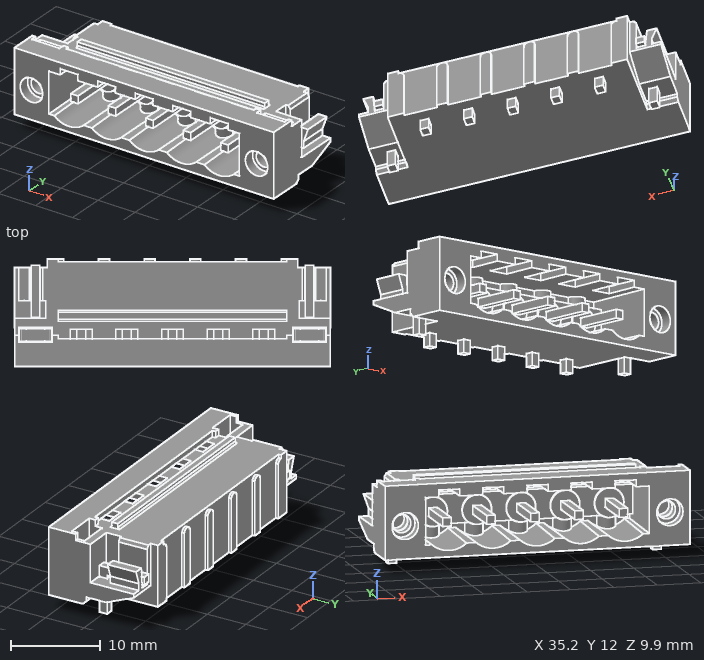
import cadquery as cq

contact_count = 5
middle_width = 25.4
pitch = middle_width / contact_count
pin_size = 1.0
leg_bottom = -1.5
axis_height = 3.75

front_width = 35.13
rear_edge_width = 35.2
total_depth = 12.0
block_top = 8.4
block_depth = 3.52
block_middle_depth = 3.1
deck_top = 7.65
rear_width = 27.9
rear_recess_depth = 0.3

flange_rear = 5.42
foot_rear = 4.45
foot_chamfer = 0.42
flange_bottom = 0.95
slope_start = 7.45
shelf_rear = 11.05
shelf_edge_bottom = 2.43
shelf_top = 2.9

waist_width = 28.23
cheek_front = 7.35
cheek_width = 29.43
cheek_chamfer_width = 0.28
cheek_chamfer_height = 0.42

fin_outer_top = 17.1
fin_outer_bottom = 16.5
fin_inner_top = 15.95
fin_inner_bottom = 15.77
fin_top = 5.42
fin_step = 3.73

ridge_front = 5.28
ridge_depth = 0.77
ridge_top = 8.3
ridge_foot = 0.2

cavity_width = 25.75
cavity_back = 8.45
cavity_floor = 1.48
cavity_ceiling = 6.85
cavity_draft = 0.1
scallop_radius = 3.03
slot_width = 2.43
slot_depth = 4.15

column_radius = 1.05
band_front = 7.2
band_bottom = 2.32
band_top = 5.7
boss_radius = 1.7
boss_front = 7.05
notch_width = 0.42

rib_width = 1.23
rib_top = 7.2
rib_crown = 0.45

pocket_width = 3.75
pocket_front = 2.75
pocket_depth = 1.65
nut_width = 3.63
nut_thickness = 1.37
nut_front_gap = 0.1
nut_corner_radius = 0.25
screw_radius = 1.5
screw_hole_depth = 1.4
thread_radius = 1.02

contact_tip = 1.05
contact_leg_front = 9.45
mount_leg_front = 5.5
mount_bar_end = 11.3

contact_places = [(i - (contact_count - 1) / 2) * pitch for i in range(contact_count)]
rib_places = [(i - contact_count / 2) * pitch for i in range(contact_count + 1)]
end_place = (contact_count + 1) / 2 * pitch
end_places = [-end_place, end_place]


def block(x_width, y_range, z_range, x_center=0):
    """Box centred on x_center that spans the given Y and Z ranges."""
    y0, y1 = y_range
    z0, z1 = z_range
    return cq.Workplane("XY").box(x_width, y1 - y0, z1 - z0, centered=(True, False, False)).translate(
        (x_center, y0, z0)
    )


def rod(radius, x_center, y_range, z_center=axis_height):
    """Cylinder along Y."""
    y0, y1 = y_range
    start = (x_center, y0, z_center)
    return cq.Workplane(cq.Plane(start, (1, 0, 0), (0, 1, 0))).circle(radius).extrude(y1 - y0)


def side_profile(points, width):
    """Prism along X, centred on X = 0, from (y, z) points."""
    return cq.Workplane("YZ").polyline(points).close().extrude(width / 2, both=True)


def end_profile(points, y_range):
    """Prism along Y from (x, z) points."""
    y0, y1 = y_range
    plane = cq.Plane((0, y0, 0), (1, 0, 0), (0, -1, 0))
    return cq.Workplane(plane).polyline(points).close().extrude(-(y1 - y0))


def flange_and_shelves():
    """Front flange with its tall block and the shelves reaching back, between slightly splayed sides."""
    flange = side_profile(
        [
            (0, 0),
            (foot_rear, 0),
            (foot_rear + foot_chamfer, foot_chamfer),
            (foot_rear + foot_chamfer, flange_bottom),
            (slope_start, flange_bottom),
            (shelf_rear, shelf_edge_bottom),
            (shelf_rear, shelf_top),
            (flange_rear, shelf_top),
            (flange_rear, deck_top),
            (block_depth, deck_top),
            (block_depth, block_top),
            (0, block_top),
        ],
        rear_edge_width,
    )
    plan = (
        cq.Workplane("XY")
        .moveTo(-front_width / 2, 0)
        .lineTo(front_width / 2, 0)
        .lineTo(rear_edge_width / 2, shelf_rear)
        .lineTo(-rear_edge_width / 2, shelf_rear)
        .close()
        .extrude(block_top)
    )
    middle_step = block(middle_width, (block_middle_depth, block_depth), (deck_top, block_top))
    return flange.intersect(plan).cut(middle_step)


def cheeks():
    """Thicker stretch of the body beside the latch fins, chamfered along the deck."""
    half = cheek_width / 2
    return end_profile(
        [
            (-half, shelf_top),
            (half, shelf_top),
            (half, deck_top - cheek_chamfer_height),
            (half - cheek_chamfer_width, deck_top),
            (-half + cheek_chamfer_width, deck_top),
            (-half, deck_top - cheek_chamfer_height),
        ],
        (cheek_front, shelf_rear),
    )


def latch_fin(side):
    return end_profile(
        [
            (side * fin_inner_bottom, shelf_top),
            (side * fin_outer_bottom, shelf_top),
            (side * fin_outer_bottom, fin_step),
            (side * fin_outer_top, fin_top),
            (side * fin_inner_top, fin_top),
        ],
        (cheek_front, shelf_rear),
    )


def ridge():
    rear = ridge_front + ridge_depth
    return side_profile(
        [
            (ridge_front - ridge_foot, deck_top),
            (ridge_front, deck_top + ridge_foot),
            (ridge_front, ridge_top),
            (rear, ridge_top),
            (rear, deck_top + ridge_foot),
            (rear + ridge_foot, deck_top),
        ],
        middle_width,
    )


def rear_rib(x):
    """Rib with a crowned top."""
    half = rib_width / 2
    plane = cq.Plane((x, total_depth - rear_recess_depth, 0), (1, 0, 0), (0, -1, 0))
    return (
        cq.Workplane(plane)
        .moveTo(-half, 0)
        .lineTo(half, 0)
        .lineTo(half, rib_top - rib_crown)
        .threePointArc((0, rib_top), (-half, rib_top - rib_crown))
        .close()
        .extrude(-rear_recess_depth)
    )


def plug_cavity():
    """Drafted cavity with a round scallop and a ceiling slot at each contact."""
    cavity = side_profile(
        [
            (0, cavity_floor),
            (cavity_back, cavity_floor + cavity_draft),
            (cavity_back, cavity_ceiling - cavity_draft),
            (0, cavity_ceiling),
        ],
        cavity_width,
    )
    for x in contact_places:
        scallop = rod(scallop_radius, x, (0, cavity_back))
        scallop = scallop.intersect(block(2 * scallop_radius, (0, cavity_back), (0, axis_height), x))
        cavity = cavity.union(scallop)
        cavity = cavity.union(block(slot_width, (0, slot_depth), (axis_height, deck_top), x))
    return cavity.intersect(block(cavity_width, (0, cavity_back), (0, deck_top)))


def contact_seats():
    """Band across the cavity's back wall, with a column and a round boss at each contact."""
    seats = block(cavity_width, (band_front, cavity_back), (band_bottom, band_top))
    for x in contact_places:
        boss_top = axis_height + boss_radius
        seats = seats.cut(block(notch_width, (band_front, cavity_back), (boss_top, band_top), x))
        column = cq.Workplane("XY").center(x, cavity_back).circle(column_radius).extrude(deck_top)
        seats = seats.union(column).union(rod(boss_radius, x, (boss_front, cavity_back)))
    return seats


def nut_pocket(x):
    """Pocket open at the top, with the stepped screw hole that leads into it."""
    pocket_bottom = axis_height - pocket_width / 2
    pocket = block(pocket_width, (pocket_front, pocket_front + pocket_depth), (pocket_bottom, block_top), x)
    screw_hole = rod(screw_radius, x, (0, screw_hole_depth))
    thread_hole = rod(thread_radius, x, (0, pocket_front))
    return pocket.union(screw_hole).union(thread_hole)


def make_housing():
    body = flange_and_shelves()
    body = body.union(block(waist_width, (flange_rear, shelf_rear), (shelf_top, deck_top)))
    body = body.union(cheeks())
    core = block(rear_width, (foot_rear, total_depth), (0, deck_top))
    recess = block(middle_width, (total_depth - rear_recess_depth, total_depth), (0, deck_top))
    body = body.union(core.cut(recess))
    for x in rib_places:
        body = body.union(rear_rib(x))
    for side in (-1, 1):
        body = body.union(latch_fin(side))
    body = body.union(ridge())
    body = body.cut(plug_cavity().cut(contact_seats()))
    for x in end_places:
        body = body.cut(nut_pocket(x))
    return body


def bent_pin(x, bar_range, leg_front):
    """Square wire with a bar along Y and a leg going down through the foot."""
    bar = block(pin_size, bar_range, (axis_height - pin_size / 2, axis_height + pin_size / 2), x)
    leg = block(pin_size, (leg_front, leg_front + pin_size), (leg_bottom, axis_height), x)
    return bar.union(leg)


def make_contact(x):
    return bent_pin(x, (contact_tip, contact_leg_front + pin_size), contact_leg_front)


def make_mounting_pin(x):
    return bent_pin(x, (mount_leg_front, mount_bar_end), mount_leg_front)


def make_nut(x):
    """Square nut with rounded corners, resting on the bottom of its pocket."""
    nut_front = pocket_front + nut_front_gap
    y_range = (nut_front, nut_front + nut_thickness)
    nut_bottom = axis_height - pocket_width / 2
    nut = block(nut_width, y_range, (nut_bottom, nut_bottom + nut_width), x)
    return nut.edges("|Y").fillet(nut_corner_radius).cut(rod(thread_radius, x, y_range))


contacts = [make_contact(x) for x in contact_places]
mounting_pins = [make_mounting_pin(x) for x in end_places]
nuts = [make_nut(x) for x in end_places]

housing = make_housing()
for pin in contacts + mounting_pins:
    housing = housing.cut(pin)

result = cq.Compound.makeCompound([body.val() for body in [housing, *contacts, *mounting_pins, *nuts]])